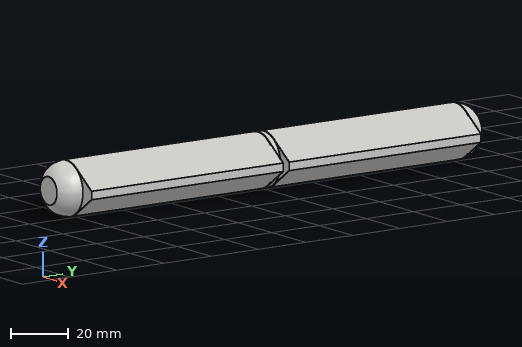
import cadquery as cq
import math

total_length = 180.0
barrel_diameter = 20.0
barrel_radius = barrel_diameter / 2

nose_reach = 15.0
nose_width = 3.0

cap_diameter = 19.8
cap_radius = cap_diameter / 2
cap_height = 7.5
cap_flat_diameter = 10.0
cap_flat_radius = cap_flat_diameter / 2
washer_thickness = 2.5

leaf_length = (total_length - 2 * cap_height - washer_thickness) / 2


def extrude_along_y(outline, start, length):
    """Sweep a closed sketch drawn in X and Z from Y = start towards +Y."""
    return outline.extrude(-length).translate((0, start, 0))


def make_leaf(start):
    """Barrel with two flanks that run tangent from it to the blunt nose."""
    half_nose = nose_width / 2
    corner_distance = math.hypot(nose_reach, half_nose)
    tangent_angle = math.atan2(half_nose, nose_reach) + math.acos(barrel_radius / corner_distance)
    tangent_x = barrel_radius * math.cos(tangent_angle)
    tangent_z = barrel_radius * math.sin(tangent_angle)
    outline = (
        cq.Workplane("XZ")
        .moveTo(nose_reach, -half_nose)
        .lineTo(nose_reach, half_nose)
        .lineTo(tangent_x, tangent_z)
        .threePointArc((-barrel_radius, 0), (tangent_x, -tangent_z))
        .close()
    )
    return extrude_along_y(outline, start, leaf_length)


def make_washer():
    """Plain disc that spaces the two leaves apart."""
    outline = cq.Workplane("XZ").circle(cap_radius)
    return extrude_along_y(outline, -washer_thickness / 2, washer_thickness)


def make_cap():
    """Cap at the +Y end: an arc leaving the base square to it and ending at a flat face."""
    base_y = total_length / 2 - cap_height
    end_y = total_length / 2
    inset = cap_radius - cap_flat_radius
    arc_radius = (inset**2 + cap_height**2) / (2 * inset)
    half_sweep = math.asin(cap_height / arc_radius) / 2
    arc_middle = (
        cap_radius - arc_radius * (1 - math.cos(half_sweep)),
        base_y + arc_radius * math.sin(half_sweep),
    )
    return (
        cq.Workplane("XY")
        .moveTo(0, base_y)
        .lineTo(cap_radius, base_y)
        .threePointArc(arc_middle, (cap_flat_radius, end_y))
        .lineTo(0, end_y)
        .close()
        .revolve(360, (0, 0, 0), (0, 1, 0))
    )


hinge = make_washer()
for leaf_start in (washer_thickness / 2, -washer_thickness / 2 - leaf_length):
    hinge = hinge.union(make_leaf(leaf_start))

cap = make_cap()
result = hinge.union(cap).union(cap.mirror("XZ"))